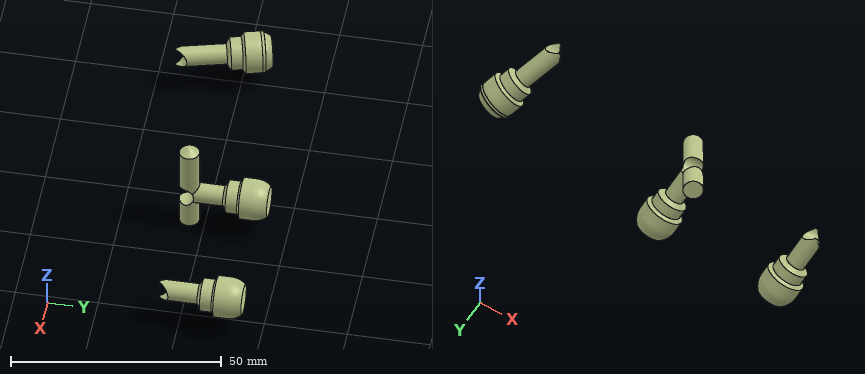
import cadquery as cq
import math

head_diameter = 10.0
neck_diameter = 8.0
shaft_diameter = 5.0
rod_diameter = 4.9
saddle_diameter = 4.9
dome_height = 3.4
head_land_length = 3.2
neck_length_past_dome = 6.6
step_cone_angle = 30

straight_length = 20.3
plunger_spacing = 34.0

tilted_length = 22.9
band_start = 1.8
band_end = 2.5
tilt_angle = 15
tilted_back_x = -50.5
tilted_back_y = -8.5

rod_top = 14.5
rod_bottom = -9.0
rod_setback = 1.0
drill_point_angle = 118

head_radius = head_diameter / 2
neck_radius = neck_diameter / 2
shaft_radius = shaft_diameter / 2
rod_radius = rod_diameter / 2
step_slope = math.tan(math.radians(step_cone_angle))


def saddle_cutter(length):
    """Cylinder along X whose axis crosses the end of the shaft."""
    return (
        cq.Workplane("YZ")
        .center(-length, 0)
        .circle(saddle_diameter / 2)
        .extrude(head_diameter, both=True)
    )


def plunger_blank(length):
    """Revolved head, neck and shaft; the dome is part of a sphere of the head's radius."""
    back_radius = math.sqrt(head_radius**2 - dome_height**2)
    mid_radius = math.sqrt(head_radius**2 - (dome_height / 2) ** 2)
    head_end = dome_height + head_land_length
    head_cone_end = head_end + (head_radius - neck_radius) * step_slope
    neck_end = dome_height + neck_length_past_dome
    neck_cone_end = neck_end + (neck_radius - shaft_radius) * step_slope
    return (
        cq.Workplane("XY")
        .lineTo(back_radius, 0)
        .threePointArc((mid_radius, -dome_height / 2), (head_radius, -dome_height))
        .lineTo(head_radius, -head_end)
        .lineTo(neck_radius, -head_cone_end)
        .lineTo(neck_radius, -neck_end)
        .lineTo(shaft_radius, -neck_cone_end)
        .lineTo(shaft_radius, -length)
        .lineTo(0, -length)
        .close()
        .revolve(360, (0, 0), (0, 1))
    )


def pointed_rod():
    """Vertical rod with a conical drill point on top."""
    point_height = rod_radius / math.tan(math.radians(drill_point_angle / 2))
    return (
        cq.Workplane("XZ")
        .moveTo(0, rod_bottom)
        .lineTo(rod_radius, rod_bottom)
        .lineTo(rod_radius, rod_top - point_height)
        .lineTo(0, rod_top)
        .close()
        .revolve(360, (0, 0), (0, 1))
        .translate((0, rod_setback - straight_length, 0))
    )


def dome_band():
    """Shallow cylindrical band, flush with the head, standing out of the dome."""
    return (
        cq.Workplane("XZ", origin=(0, -band_start, 0))
        .circle(head_radius)
        .extrude(band_end - band_start)
    )


def plain_plunger(length):
    return plunger_blank(length).cut(saddle_cutter(length))


def rod_plunger():
    """Straight plunger carrying the rod, with one saddle across both."""
    blank = plunger_blank(straight_length).union(pointed_rod())
    return blank.cut(saddle_cutter(straight_length))


middle_plunger = rod_plunger()
right_plunger = plain_plunger(straight_length).translate((plunger_spacing, 0, 0))
tilted_plunger = (
    plain_plunger(tilted_length)
    .union(dome_band())
    .rotate((0, 0, 0), (0, 0, 1), tilt_angle)
    .translate((tilted_back_x, tilted_back_y, 0))
)

result = cq.Compound.makeCompound([
    middle_plunger.val(),
    right_plunger.val(),
    tilted_plunger.val(),
])